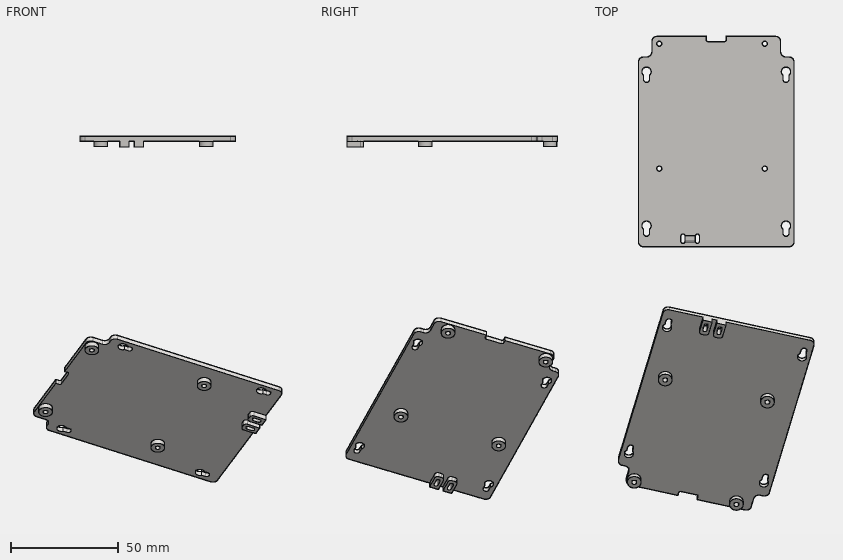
import cadquery as cq

plate_width = 72.4
plate_length = 97.8
plate_thickness = 2.4
corner_radius = 2.4

tab_width = 59.8
tab_depth = 9.6
notch_width = 9.2
notch_depth = 2.4
notch_radius = 0.8

standoff_centre = (-2.0, 16.4)
standoff_spacing = (49.0, 58.0)
standoff_diameter = 6.4
standoff_height = 2.4
screw_diameter = 2.25

keyhole_spacing = (64.7, 71.5)
keyhole_centre_y = -3.3
head_diameter = 4.2
neck_width = 2.7
neck_drop = 3.5

anchor_x = -12.1
tie_slot_spacing = 6.65
tie_slot_width = 1.9
tie_slot_length = 4.3
tie_slot_y = -45.1
block_width = 4.4
block_length = 7.7
block_height = 2.6
block_radius = 1.5
groove_width = 3.0
groove_y = -45.2
groove_depth = 1.0
groove_front_radius = 0.8
groove_rear_radius = 0.3

rear_y = plate_length / 2
front_y = -rear_y


def make_plate():
    """Plate with a narrower rounded tab and a notch at the rear edge."""
    half_width = plate_width / 2
    half_tab = tab_width / 2
    shoulder_y = rear_y - tab_depth
    plate = (
        cq.Workplane("XY")
        .moveTo(-half_width, front_y)
        .lineTo(half_width, front_y)
        .lineTo(half_width, shoulder_y)
        .lineTo(half_tab, shoulder_y)
        .lineTo(half_tab, rear_y)
        .lineTo(-half_tab, rear_y)
        .lineTo(-half_tab, shoulder_y)
        .lineTo(-half_width, shoulder_y)
        .close()
        .extrude(-plate_thickness)
        .edges("|Z")
        .fillet(corner_radius)
    )
    notch = (
        cq.Workplane("XY")
        .center(0, rear_y)
        .rect(notch_width, 2 * notch_depth)
        .extrude(-plate_thickness)
        .edges("|Z and <Y")
        .fillet(notch_radius)
    )
    return plate.cut(notch)


def make_standoffs():
    """Round standoffs below the plate."""
    return (
        cq.Workplane("XY", origin=(0, 0, -plate_thickness))
        .center(*standoff_centre)
        .rarray(*standoff_spacing, 2, 2)
        .circle(standoff_diameter / 2)
        .extrude(-standoff_height)
    )


def make_screw_holes():
    """Screw holes through the plate and the standoffs."""
    return (
        cq.Workplane("XY")
        .center(*standoff_centre)
        .rarray(*standoff_spacing, 2, 2)
        .circle(screw_diameter / 2)
        .extrude(-plate_thickness - standoff_height)
    )


def make_keyholes():
    """Four keyholes, heads and necks together."""
    sites = cq.Workplane("XY").center(0, keyhole_centre_y).rarray(*keyhole_spacing, 2, 2)
    heads = sites.circle(head_diameter / 2).extrude(-plate_thickness)
    necks = (
        cq.Workplane("XY")
        .center(0, keyhole_centre_y - neck_drop / 2)
        .rarray(*keyhole_spacing, 2, 2)
        .slot2D(neck_drop + neck_width, neck_width, 90)
        .extrude(-plate_thickness)
    )
    return heads.union(necks)


def make_anchor_blocks():
    """Blocks below the plate around the tie slots, rounded at the back."""
    return (
        cq.Workplane("XY", origin=(anchor_x, front_y + block_length / 2, -plate_thickness))
        .rarray(tie_slot_spacing, 1, 2, 1)
        .rect(block_width, block_length)
        .extrude(-block_height)
        .edges("|Z and >Y")
        .fillet(block_radius)
    )


def make_tie_passage():
    """Two slots through the anchor blocks and the groove with rounded bottom edges between them."""
    slots = (
        cq.Workplane("XY", origin=(anchor_x, tie_slot_y, 0))
        .rarray(tie_slot_spacing, 1, 2, 1)
        .slot2D(tie_slot_length, tie_slot_width, 90)
        .extrude(-plate_thickness - block_height)
    )
    groove = (
        cq.Workplane("XY", origin=(anchor_x, groove_y, 0))
        .rect(tie_slot_spacing, groove_width)
        .extrude(-groove_depth)
        .faces("<Y")
        .edges("<Z")
        .fillet(groove_front_radius)
        .faces(">Y")
        .edges("<Z")
        .fillet(groove_rear_radius)
    )
    return slots.union(groove)


result = (
    make_plate()
    .union(make_standoffs())
    .union(make_anchor_blocks())
    .cut(make_screw_holes())
    .cut(make_keyholes())
    .cut(make_tie_passage())
)